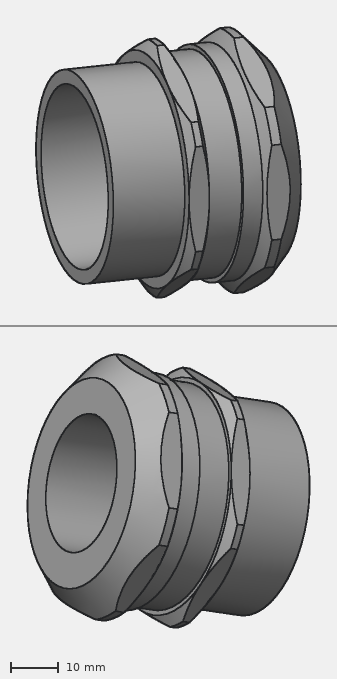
import cadquery as cq

LENGTH = 42.0

SOCKET_END = 15.95
SMALL_NUT_END = 20.5
NECK_END = 28.1
COLLAR_END = 32.4

SOCKET_DIAMETER = 45.0
NECK_DIAMETER = 48.0
COLLAR_DIAMETER = 50.0

SMALL_NUT_FLATS = 50.0
SMALL_NUT_CORNERS = 54.95
SMALL_NUT_CHAMFER = 1.45
LARGE_NUT_FLATS = 52.0
LARGE_NUT_CORNERS = 55.95
LARGE_NUT_FRONT_CHAMFER = 1.6
LARGE_NUT_BACK_CHAMFER = 5.9
LARGE_NUT_BACK_DIAMETER = 44.35

BORE_DIAMETER = 29.2
SOCKET_BORE_DIAMETER = 39.0
SOCKET_BORE_DEPTH = SOCKET_END

HEX_SIDES = 6


def cylinder(diameter, start, end):
    """Solid cylinder along +Y between two stations."""
    plane = cq.Workplane("XZ", origin=(0, start, 0))
    return plane.circle(diameter / 2).extrude(start - end)


def chamfered_nut(flats, corners, start, end, front_chamfer, back_chamfer, front_diameter, back_diameter):
    """Hexagon with flats facing +/-X, its corners turned down to a cylinder and two cones."""
    plane = cq.Workplane("XZ", origin=(0, start, 0))
    hexagon = plane.polygon(HEX_SIDES, flats, circumscribed=True).extrude(start - end)
    turned_profile = [
        (0, start),
        (front_diameter / 2, start),
        (corners / 2, start + front_chamfer),
        (corners / 2, end - back_chamfer),
        (back_diameter / 2, end),
        (0, end),
    ]
    turned_envelope = (
        cq.Workplane("XY").polyline(turned_profile).close().revolve(360, (0, 0, 0), (0, 1, 0))
    )
    return hexagon.intersect(turned_envelope)


body = cylinder(SOCKET_DIAMETER, 0, SOCKET_END)
body = body.union(cylinder(NECK_DIAMETER, SMALL_NUT_END, NECK_END))
body = body.union(cylinder(COLLAR_DIAMETER, NECK_END, COLLAR_END))

small_nut = chamfered_nut(
    SMALL_NUT_FLATS, SMALL_NUT_CORNERS, SOCKET_END, SMALL_NUT_END,
    SMALL_NUT_CHAMFER, SMALL_NUT_CHAMFER, SMALL_NUT_FLATS, SMALL_NUT_FLATS,
)

large_nut = chamfered_nut(
    LARGE_NUT_FLATS, LARGE_NUT_CORNERS, COLLAR_END, LENGTH,
    LARGE_NUT_FRONT_CHAMFER, LARGE_NUT_BACK_CHAMFER, COLLAR_DIAMETER, LARGE_NUT_BACK_DIAMETER,
)
body = body.union(small_nut).union(large_nut)

body = body.cut(cylinder(BORE_DIAMETER, 0, LENGTH))
body = body.cut(cylinder(SOCKET_BORE_DIAMETER, 0, SOCKET_BORE_DEPTH))

result = body.translate((0, -LENGTH / 2, 0))